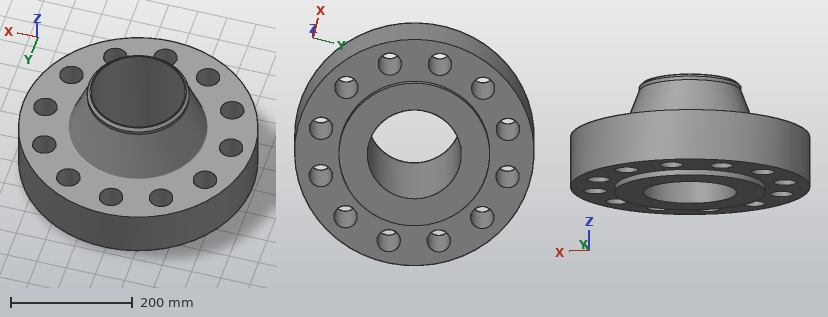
import cadquery as cq

flange_diameter = 393.5
flange_thickness = 83.5
face_diameter = 248.0
face_height = 9.5

overall_height = 181.0
hub_base_diameter = 228.0
hub_fillet_radius = 2.5
neck_diameter = 167.5
neck_height = 6.0
bevel_size = 4.7

bore_diameter = 154.3
bolt_circle_diameter = 317.5
bolt_hole_diameter = 38.0
bolt_count = 12

flange_top = face_height + flange_thickness
neck_bottom = overall_height - bevel_size - neck_height
hub_height = neck_bottom - flange_top


def disc(diameter, height, bottom):
    """Round disc about Z, standing on the given height."""
    return cq.Workplane("XY").workplane(offset=bottom).circle(diameter / 2).extrude(height)


def flange():
    """Flange disc on its raised face."""
    raised_face = disc(face_diameter, face_height, 0)
    return raised_face.union(disc(flange_diameter, flange_thickness, face_height))


def hub():
    """Tapered hub with its straight neck and weld bevel."""
    cone = cq.Workplane(
        cq.Solid.makeCone(
            hub_base_diameter / 2,
            neck_diameter / 2,
            hub_height,
            cq.Vector(0, 0, flange_top),
        )
    )
    neck = disc(neck_diameter, neck_height + bevel_size, neck_bottom)
    return cone.union(neck.faces(">Z").chamfer(bevel_size))


def round_hub_foot(body):
    """Fillet the inside corner where the hub meets the flange."""
    near_foot = cq.selectors.BoxSelector(
        (-flange_diameter, -flange_diameter, flange_top - hub_fillet_radius),
        (flange_diameter, flange_diameter, flange_top + hub_fillet_radius),
    )
    hub_foot = cq.selectors.RadiusNthSelector(0)
    return body.edges(near_foot).edges(hub_foot).fillet(hub_fillet_radius)


def bore():
    """Pipe bore through the full height."""
    return disc(bore_diameter, overall_height, 0)


def bolt_holes():
    """Ring of evenly spaced bolt holes, the first one on the +X axis."""
    return (
        cq.Workplane("XY")
        .polarArray(bolt_circle_diameter / 2, 0, 360, bolt_count)
        .circle(bolt_hole_diameter / 2)
        .extrude(flange_top)
    )


result = round_hub_foot(flange().union(hub())).cut(bore()).cut(bolt_holes())